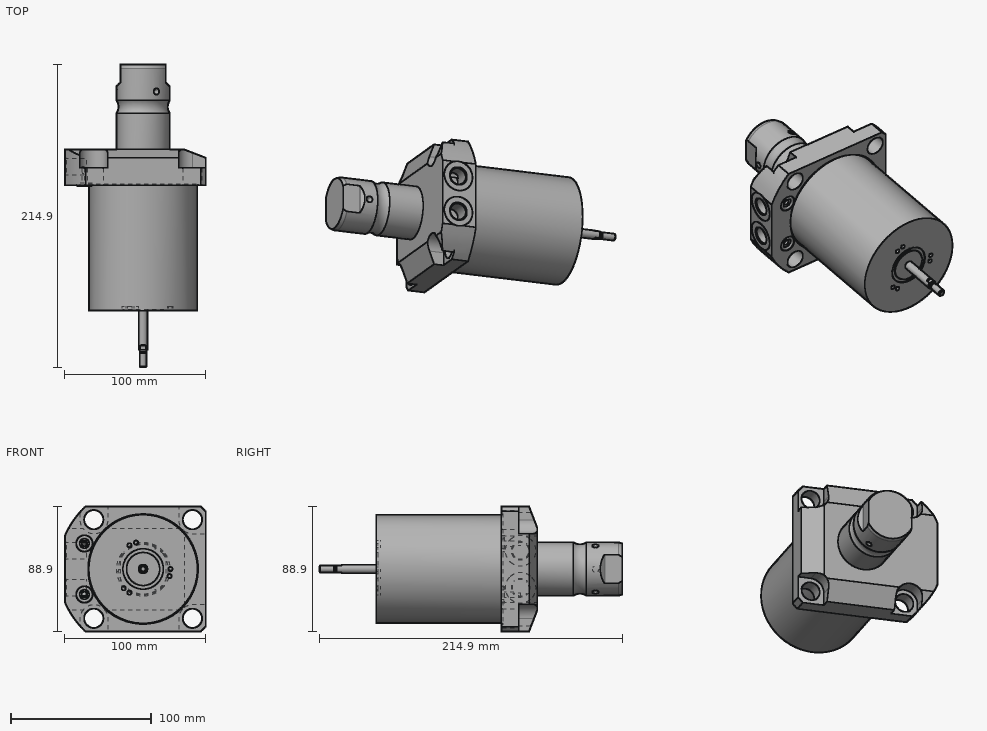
import cadquery as cq
import math


flange_size = 88.9
half_size = flange_size / 2
flange_length = 100.0
port_face_x = half_size - flange_length
flange_thickness = 25.5
flange_arc_radius = 60.3
corner_chamfer = 3.6
bevel_inset = 15.4
bevel_drop = 5.9

bolt_offset = 35.0
bolt_hole_diameter = 13.5
bolt_recess_radius = 9.85
bolt_seat_y = 12.4

barrel_diameter = 77.0
barrel_length = 88.9
relief_width = 0.6
relief_depth = 1.0
end_ring_outer_radius = 14.35
end_ring_inner_radius = 11.75
end_ring_depth = 1.0
spanner_hole_diameter = 3.0
spanner_hole_depth = 3.0
spanner_circle_radius = 19.4
spanner_pair_angle = 15.0
spanner_pair_count = 3

collar_diameter = 38.0
collar_radius = collar_diameter / 2
collar_end_y = 85.7
end_taper_length = 2.7
end_taper_inset = 0.8
neck_start_y = 51.1
neck_end_y = 60.3
neck_depth = 1.4
flat_offset = 16.1
flat_start_y = 73.0
flat_fillet = 0.8
dimple_diameter = 4.6
dimple_depth = dimple_diameter / 2
dimple_y = 66.6
dimple_count = 3

rod_diameter = 6.3
overall_length = 214.91
rod_end_y = collar_end_y - overall_length
rod_shoulder_y = -116.8
rod_tip_diameter = 5.1
rod_tip_chamfer = 0.8
rod_groove_diameter = 4.9
rod_groove_start_y = -117.9
rod_groove_end_y = -119.1
rod_flat_start_y = -113.0
rod_flat_distance = 5.0

port_y = 13.4
port_z = 13.1
port_diameter = 11.8
port_mouth_diameter = 13.2
port_depth = 15.2
spotface_diameter = 21.6
spotface_depth = 0.2

seal_x = -41.6
seal_z = 18.1
seal_recess_diameter = 11.8
seal_recess_depth = 1.9
seal_drill_diameter = 4.0
o_ring_section_radius = 1.2
o_ring_mean_radius = 4.55

SIDES = (-1, 1)
AXIS = cq.Vector(0, 1, 0)


def cylinder_y(diameter, start_y, end_y, x=0.0, z=0.0):
    """Cylinder parallel to Y between two Y positions."""
    base = cq.Vector(x, min(start_y, end_y), z)
    return cq.Workplane(cq.Solid.makeCylinder(diameter / 2, abs(end_y - start_y), base, AXIS))


def box_between(x_range, y_range, z_range):
    """Box with its sides at the given limits."""
    low, high = zip(x_range, y_range, z_range)
    size = [b - a for a, b in zip(low, high)]
    return cq.Workplane(cq.Solid.makeBox(*size, cq.Vector(*low)))


def flange_block():
    """Plate with arcs about the axis on the port side and chamfers on the other corners."""
    arc_x = -math.sqrt(flange_arc_radius**2 - half_size**2)
    arc_z = math.sqrt(flange_arc_radius**2 - port_face_x**2)
    middle_angle = (math.atan2(half_size, arc_x) + math.atan2(arc_z, port_face_x)) / 2
    middle_x = flange_arc_radius * math.cos(middle_angle)
    middle_z = flange_arc_radius * math.sin(middle_angle)
    chamfer_start = half_size - corner_chamfer
    return (
        cq.Workplane("XZ")
        .moveTo(arc_x, half_size)
        .lineTo(chamfer_start, half_size)
        .lineTo(half_size, chamfer_start)
        .lineTo(half_size, -chamfer_start)
        .lineTo(chamfer_start, -half_size)
        .lineTo(arc_x, -half_size)
        .threePointArc((middle_x, -middle_z), (port_face_x, -arc_z))
        .lineTo(port_face_x, arc_z)
        .threePointArc((middle_x, middle_z), (arc_x, half_size))
        .close()
        .extrude(-flange_thickness)
    )


def bevel_cutter():
    """Wedge that bevels the back edge on the +X side."""
    return (
        cq.Workplane("XY")
        .moveTo(half_size - bevel_inset, flange_thickness)
        .lineTo(half_size, flange_thickness)
        .lineTo(half_size, flange_thickness - bevel_drop)
        .close()
        .extrude(half_size, both=True)
    )


def z_side_bevel_cutter():
    """The same wedge turned to the +Z side and long enough for the whole flange."""
    return (
        cq.Workplane("YZ")
        .moveTo(flange_thickness, half_size - bevel_inset)
        .lineTo(flange_thickness, half_size)
        .lineTo(flange_thickness - bevel_drop, half_size)
        .close()
        .extrude(flange_length, both=True)
    )


def bolt_recess(x, side):
    """Bolt head recess, open to the nearer Z side and, on the +X side, also to +X."""
    z = side * bolt_offset
    y_range = (bolt_seat_y, flange_thickness)
    outer_z = sorted((z, side * flange_size))
    recess = cylinder_y(2 * bolt_recess_radius, *y_range, x, z)
    recess = recess.union(box_between((x - bolt_recess_radius, x + bolt_recess_radius), y_range, outer_z))
    if x > 0:
        inner_z = sorted((z - side * bolt_recess_radius, side * flange_size))
        recess = recess.union(box_between((x, flange_length), y_range, inner_z))
    return recess


def make_flange():
    flange = flange_block().cut(bevel_cutter())
    bevel = z_side_bevel_cutter()
    flange = flange.cut(bevel).cut(bevel.mirror("XY"))
    for x in (-bolt_offset, bolt_offset):
        for side in SIDES:
            flange = flange.cut(cylinder_y(bolt_hole_diameter, 0, flange_thickness, x, side * bolt_offset))
            flange = flange.cut(bolt_recess(x, side))
    relief = cylinder_y(barrel_diameter + 2 * relief_width, 0, relief_depth)
    relief = relief.cut(cylinder_y(barrel_diameter, 0, relief_depth))
    return flange.cut(relief)


def make_barrel():
    """Plain barrel with a shallow ring and pairs of spanner holes in its end face."""
    barrel = cylinder_y(barrel_diameter, -barrel_length, 0)
    ring_floor = end_ring_depth - barrel_length
    ring = cylinder_y(2 * end_ring_outer_radius, -barrel_length, ring_floor)
    ring = ring.cut(cylinder_y(2 * end_ring_inner_radius, -barrel_length, ring_floor))
    barrel = barrel.cut(ring)
    for index in range(spanner_pair_count):
        first_angle = index * 360 / spanner_pair_count
        for angle in (first_angle, first_angle - spanner_pair_angle):
            x = spanner_circle_radius * math.cos(math.radians(angle))
            z = spanner_circle_radius * math.sin(math.radians(angle))
            hole_floor = spanner_hole_depth - barrel_length
            barrel = barrel.cut(cylinder_y(spanner_hole_diameter, -barrel_length, hole_floor, x, z))
    return barrel


def collar_dimple(angle):
    """Conical radial dimple in the collar at an angle about Y, measured from +X towards +Z."""
    direction = cq.Vector(math.cos(math.radians(angle)), 0, math.sin(math.radians(angle)))
    start = direction * (collar_radius - dimple_depth) + cq.Vector(0, dimple_y, 0)
    return cq.Workplane(cq.Solid.makeCone(0, dimple_diameter / 2, dimple_depth, start, direction))


def make_collar():
    """Turned collar with a concave neck, two flats at its end and radial dimples."""
    collar = (
        cq.Workplane("XY")
        .moveTo(0, flange_thickness)
        .lineTo(collar_radius, flange_thickness)
        .lineTo(collar_radius, neck_start_y)
        .threePointArc(
            (collar_radius - neck_depth, (neck_start_y + neck_end_y) / 2), (collar_radius, neck_end_y)
        )
        .lineTo(collar_radius, collar_end_y - end_taper_length)
        .lineTo(collar_radius - end_taper_inset, collar_end_y)
        .lineTo(0, collar_end_y)
        .close()
        .revolve(360, (0, 0, 0), (0, 1, 0))
    )
    flat_depth = collar_radius - flat_offset
    flat = (
        cq.Workplane("XY")
        .moveTo(flat_offset, collar_end_y)
        .lineTo(flat_offset, flat_start_y)
        .lineTo(collar_radius, flat_start_y - flat_depth)
        .lineTo(collar_radius, collar_end_y)
        .close()
        .extrude(collar_radius, both=True)
        .faces("<X")
        .edges("<Y")
        .fillet(flat_fillet)
    )
    collar = collar.cut(flat).cut(flat.mirror("YZ"))
    for index in range(dimple_count):
        collar = collar.cut(collar_dimple(180 + index * 360 / dimple_count))
    return collar


def make_rod():
    """Stepped rod with two flats beside its shoulder and a groove in its tip."""
    rod = cylinder_y(rod_diameter, rod_shoulder_y, -barrel_length)
    flat_z = rod_flat_distance / 2
    flat_depth = rod_diameter / 2 - flat_z
    flat = (
        cq.Workplane("YZ")
        .moveTo(rod_shoulder_y, flat_z)
        .lineTo(rod_flat_start_y - flat_depth, flat_z)
        .lineTo(rod_flat_start_y, rod_diameter / 2)
        .lineTo(rod_shoulder_y, rod_diameter / 2)
        .close()
        .extrude(rod_diameter, both=True)
    )
    rod = rod.cut(flat).cut(flat.mirror("XY"))
    tip = cylinder_y(rod_tip_diameter, rod_end_y, rod_shoulder_y).faces("<Y").chamfer(rod_tip_chamfer)
    groove = cylinder_y(rod_tip_diameter, rod_groove_end_y, rod_groove_start_y)
    groove = groove.cut(cylinder_y(rod_groove_diameter, rod_groove_end_y, rod_groove_start_y))
    return rod.union(tip.cut(groove))


def port_cutter(side):
    """Side port with a spotface and a chamfered mouth, and the sealed opening that feeds it."""
    mouth_depth = (port_mouth_diameter - port_diameter) / 2
    port = (
        cq.Workplane("YZ", origin=(port_face_x, port_y, side * port_z))
        .circle(spotface_diameter / 2)
        .extrude(spotface_depth)
        .faces(">X")
        .workplane()
        .circle(port_diameter / 2)
        .extrude(port_depth)
    )
    mouth = cq.Workplane(
        cq.Solid.makeCone(
            port_mouth_diameter / 2,
            port_diameter / 2,
            mouth_depth,
            cq.Vector(port_face_x + spotface_depth, port_y, side * port_z),
            cq.Vector(1, 0, 0),
        )
    )
    drill = cylinder_y(seal_drill_diameter, 0, port_y, seal_x, side * seal_z)
    recess = cylinder_y(seal_recess_diameter, 0, seal_recess_depth, seal_x, side * seal_z)
    return port.union(mouth).union(drill).union(recess)


def make_clamp_cylinder():
    """Flange, barrel, collar and rod as one solid."""
    body = make_flange().union(make_barrel()).union(make_collar()).union(make_rod())
    for side in SIDES:
        body = body.cut(port_cutter(side))
    return body


def make_o_ring(side):
    """O-ring resting on the floor of its recess and standing proud of the mounting face."""
    centre = cq.Vector(seal_x, seal_recess_depth - o_ring_section_radius, side * seal_z)
    return cq.Workplane(cq.Solid.makeTorus(o_ring_mean_radius, o_ring_section_radius, centre, AXIS))


clamp_cylinder = make_clamp_cylinder()
o_rings = [make_o_ring(side) for side in SIDES]

result = cq.Compound.makeCompound([clamp_cylinder.val(), *[ring.val() for ring in o_rings]])